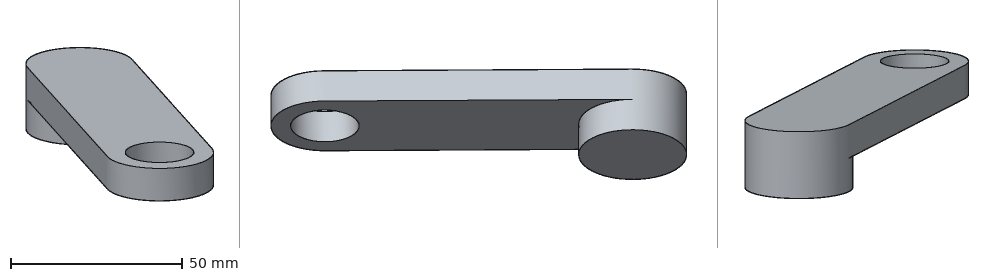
import cadquery as cq
import math

overall_length_x = 101.5
end_diameter = 31.6
hole_diameter = 20.0
total_height = 20.0
eye_drop_y = 56.5

arm_thickness = total_height / 2
eye_x = overall_length_x - end_diameter
eye_y = -eye_drop_y
center_distance = math.hypot(eye_x, eye_y)
arm_angle = math.degrees(math.atan2(eye_y, eye_x))

boss_height = total_height - arm_thickness

boss = cq.Workplane("XY").circle(end_diameter / 2).extrude(total_height)

web = (
    cq.Workplane("XY", origin=(center_distance / 2, 0, boss_height))
    .rect(center_distance, end_diameter)
    .extrude(arm_thickness)
)
eye = (
    cq.Workplane("XY", origin=(center_distance, 0, boss_height))
    .circle(end_diameter / 2)
    .extrude(arm_thickness)
)

eye_hole = (
    cq.Workplane("XY", origin=(center_distance, 0, 0))
    .circle(hole_diameter / 2)
    .extrude(total_height)
)

lever = boss.union(web).union(eye).cut(eye_hole)
result = lever.rotate((0, 0, 0), (0, 0, 1), arm_angle)